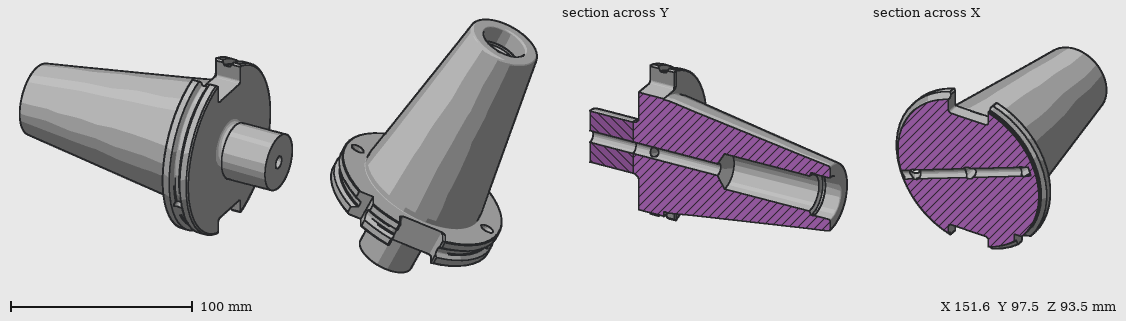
import cadquery as cq
import math


overall_length = 151.6

taper_length = 101.7
taper_per_length = 7 / 24
gauge_radius = 35.0
small_end_radius = gauge_radius - taper_length * taper_per_length / 2
small_end_fillet = 1.8
neck_root_fillet = 0.38

flange_front = 3.2
flange_back = 19.1
flange_diameter = 97.5
flange_radius = flange_diameter / 2
front_rim_chamfer = 0.5
back_rim_chamfer = 0.9
groove_center = 10.9
groove_floor_radius = 45.8
groove_mouth_half_width = 3.3
groove_flank_angle = 30
groove_fillet = 0.8

nose_diameter = 32.0
nose_radius = nose_diameter / 2
nose_start = 22.7
nose_end = overall_length - taper_length
shoulder_fillet = nose_start - flange_back

mouth_radius = 13.8
mouth_fillet = 1.0
counterbore_radius = mouth_radius - mouth_fillet
counterbore_depth = 10.3
relief_width = 1.7
relief_depth = 0.3
core_radius = 10.8
step_length = 1.2
core_depth = 66.7
drill_tip_angle = 118
coolant_radius = 3.5

slot_width = 25.6
top_slot_floor = 35.5
bottom_slot_floor = 37.7
slot_fillet = 1.7
slot_edge_chamfer = 1.0
slot_face_chamfer_depth = 0.8
notch_offset = 30.0

feed_angle = 20
feed_mouth_radius = 42.0
feed_radius = 3.0
feed_tilt = 35
cross_radius = 2.6

clearance = 1.5

arc_middle = 1 - math.sqrt(0.5)

flange_width = flange_back - flange_front
slot_half_width = slot_width / 2
feed_run = groove_center - flange_front


def make_taper():
    root_middle = neck_root_fillet * arc_middle
    taper = (
        cq.Workplane("XY")
        .moveTo(-taper_length, 0)
        .lineTo(-taper_length, small_end_radius)
        .lineTo(0, gauge_radius)
        .lineTo(flange_front - neck_root_fillet, gauge_radius)
        .threePointArc(
            (flange_front - root_middle, gauge_radius + root_middle),
            (flange_front, gauge_radius + neck_root_fillet),
        )
        .lineTo(flange_front, 0)
        .close()
        .revolve(360, (0, 0, 0), (1, 0, 0))
    )
    return taper.faces("<X").edges().fillet(small_end_fillet)


def make_flange():
    disc = cq.Workplane("YZ", origin=(flange_front, 0, 0)).circle(flange_radius).extrude(flange_width)
    disc = disc.faces("<X").edges().chamfer(front_rim_chamfer)
    disc = disc.faces(">X").edges().chamfer(back_rim_chamfer)
    return disc.cut(make_v_groove())


def make_v_groove():
    slope = math.tan(math.radians(groove_flank_angle))
    floor_half_width = groove_mouth_half_width - (flange_radius - groove_floor_radius) * slope
    outer_radius = flange_radius + clearance
    outer_half_width = groove_mouth_half_width + clearance * slope
    ring = (
        cq.Workplane("XY")
        .moveTo(groove_center - floor_half_width, groove_floor_radius)
        .lineTo(groove_center + floor_half_width, groove_floor_radius)
        .lineTo(groove_center + outer_half_width, outer_radius)
        .lineTo(groove_center - outer_half_width, outer_radius)
        .close()
        .revolve(360, (0, 0, 0), (1, 0, 0))
    )
    floor_edges = cq.selectors.RadiusNthSelector(0)
    return ring.edges(floor_edges).fillet(groove_fillet)


def make_shoulder():
    foot_radius = nose_radius + shoulder_fillet
    middle = shoulder_fillet * arc_middle
    return (
        cq.Workplane("XY")
        .moveTo(flange_back, 0)
        .lineTo(flange_back, foot_radius)
        .threePointArc((flange_back + middle, nose_radius + middle), (nose_start, nose_radius))
        .lineTo(nose_start, 0)
        .close()
        .revolve(360, (0, 0, 0), (1, 0, 0))
    )


def make_bore():
    face = -taper_length
    relief_start = face + counterbore_depth
    step_start = relief_start + relief_width
    relief_radius = counterbore_radius + relief_depth
    bulge = mouth_fillet * arc_middle
    core_end = face + core_depth
    tip_length = (core_radius - coolant_radius) / math.tan(math.radians(drill_tip_angle / 2))
    return (
        cq.Workplane("XY")
        .moveTo(face, 0)
        .lineTo(face, mouth_radius)
        .threePointArc(
            (face + bulge, counterbore_radius + bulge), (face + mouth_fillet, counterbore_radius)
        )
        .lineTo(relief_start, counterbore_radius)
        .lineTo(relief_start, relief_radius)
        .lineTo(step_start, relief_radius)
        .lineTo(step_start + step_length, core_radius)
        .lineTo(core_end, core_radius)
        .lineTo(core_end + tip_length, coolant_radius)
        .lineTo(nose_start, coolant_radius)
        .lineTo(nose_start, 0)
        .close()
        .revolve(360, (0, 0, 0), (1, 0, 0))
    )


def slot_outline(plane, half_width, corner_radius, height):
    """Slot section with its floor at height 0 and rounded floor corners."""
    flat = half_width - corner_radius
    return (
        plane.moveTo(-flat, 0)
        .lineTo(flat, 0)
        .radiusArc((half_width, corner_radius), -corner_radius)
        .lineTo(half_width, height)
        .lineTo(-half_width, height)
        .lineTo(-half_width, corner_radius)
        .radiusArc((-flat, 0), -corner_radius)
        .close()
    )


def make_slot(floor, direction):
    """Driving slot open to +Z (direction 1) or -Z (direction -1)."""
    height = flange_radius - floor + clearance
    slot = slot_outline(cq.Workplane("YZ"), slot_half_width, slot_fillet, height).extrude(flange_width)
    front = slot_outline(
        cq.Workplane("YZ"), slot_half_width + slot_edge_chamfer, slot_fillet + slot_edge_chamfer, height
    )
    back = front.workplane(offset=slot_face_chamfer_depth)
    face_chamfers = slot_outline(back, slot_half_width, slot_fillet, height).loft(ruled=True)
    rim_height = math.sqrt(flange_radius**2 - (slot_half_width + slot_edge_chamfer) ** 2) - floor
    rim_chamfers = (
        cq.Workplane("YZ")
        .moveTo(-slot_half_width, rim_height - slot_edge_chamfer)
        .lineTo(slot_half_width, rim_height - slot_edge_chamfer)
        .lineTo(slot_half_width + slot_edge_chamfer, rim_height)
        .lineTo(slot_half_width + slot_edge_chamfer, height)
        .lineTo(-slot_half_width - slot_edge_chamfer, height)
        .lineTo(-slot_half_width - slot_edge_chamfer, rim_height)
        .close()
        .extrude(flange_width)
    )
    slot = slot.union(face_chamfers).union(rim_chamfers).translate((flange_front, 0, floor))
    return slot if direction > 0 else slot.rotate((0, 0, 0), (1, 0, 0), 180)


def make_notch():
    size = flange_radius - notch_offset
    return cq.Workplane("XY").box(flange_width, size, size, centered=False).translate(
        (flange_front, notch_offset, -flange_radius)
    )


def make_coolant_feed(angle):
    """Hole from the front face, tilted inward to end on the axis of the cross hole."""
    tilt = math.radians(feed_tilt)
    direction = cq.Vector(math.cos(tilt), -math.sin(tilt), 0)
    mouth = cq.Vector(flange_front, feed_mouth_radius, 0)
    lead_in = feed_radius * math.tan(tilt)
    feed_length = lead_in + feed_run / math.cos(tilt)
    feed = cq.Solid.makeCylinder(feed_radius, feed_length, mouth - direction * lead_in, direction)
    return cq.Workplane(feed).rotate((0, 0, 0), (1, 0, 0), angle)


def make_cross_hole():
    """Blind hole from the groove on the -Y side, across the bore, to below the far feed mouth."""
    plane = cq.Workplane("XZ", origin=(groove_center, feed_mouth_radius, 0))
    hole = plane.circle(cross_radius).extrude(feed_mouth_radius + flange_radius)
    return hole.rotate((0, 0, 0), (1, 0, 0), feed_angle)


def make_holder():
    holder = make_taper().union(make_flange()).union(make_shoulder())
    holder = holder.cut(make_bore())
    holder = holder.cut(make_slot(top_slot_floor, 1)).cut(make_slot(bottom_slot_floor, -1))
    holder = holder.cut(make_notch())
    for angle in (feed_angle, feed_angle + 180):
        holder = holder.cut(make_coolant_feed(angle))
    return holder.cut(make_cross_hole())


def make_nose():
    nose_length = nose_end - nose_start
    plane = cq.Workplane("YZ", origin=(nose_start, 0, 0))
    return plane.circle(nose_radius).circle(coolant_radius).extrude(nose_length)


holder = make_holder()
nose = make_nose()

result = cq.Compound.makeCompound([holder.val(), nose.val()])